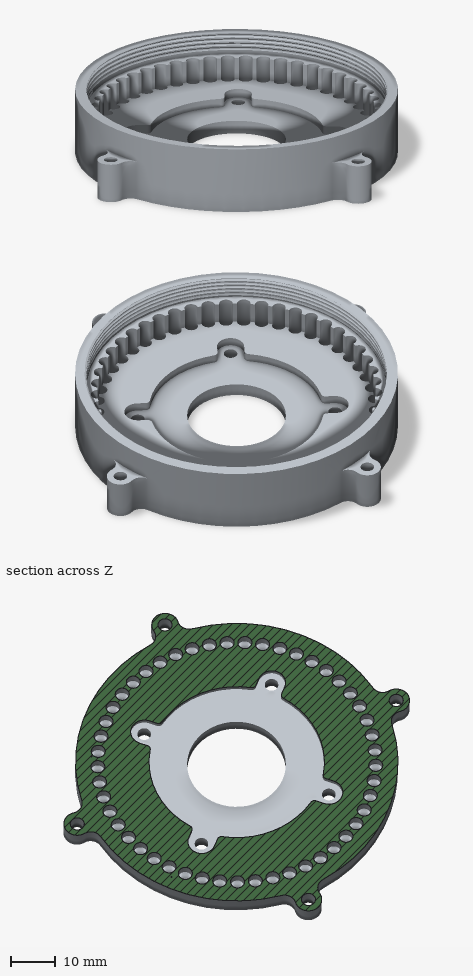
import cadquery as cq
import math

span_over_lugs = 84.0
body_radius = 72.0 / 2
body_height = 15.0
bore_radius = 11.0
floor_height = 5.0

pin_count = 49
pin_diameter = 3.0
pin_circle_radius = 31.0
pin_ledge_height = 2 * floor_height
pin_pocket_depth = 3.0

mouth_radius = 67.0 / 2
thread_depth = 0.4
thread_pitch = 1.0
thread_groove_width = thread_pitch * 3 / 4
thread_root_width = thread_pitch / 8
thread_turns = 5
thread_start_angle = 209
thread_overrun = 0.6
thread_overlap = 0.04

lug_count = 4
lug_height = 9.0
lug_radius = 3.0
lug_circle_radius = span_over_lugs / 2 - lug_radius
lug_fillet = 2.5
screw_diameter = 3.0

recess_radius = 19.5
recess_depth = 2.0
arm_radius = 3.0
arm_circle_radius = 22.0
arm_count = 4
arm_start_angle = 45
arm_corner_fillet = 1.0


def polar_points(radius, count, start_angle=0.0):
    """Points evenly spaced on a circle about the origin."""
    angles = [math.radians(start_angle + i * 360 / count) for i in range(count)]
    return [(radius * math.cos(a), radius * math.sin(a)) for a in angles]


def turned(part, angle):
    """The part turned about the Z axis."""
    return part.rotate((0, 0, 0), (0, 0, 1), angle)


def make_lug():
    """An upright post touching the body, blended into it on both sides."""
    blend_reach = body_radius + lug_fillet
    post_reach = lug_radius + lug_fillet
    blend_x = (lug_circle_radius**2 + blend_reach**2 - post_reach**2) / (2 * lug_circle_radius)
    blend_y = math.sqrt(blend_reach**2 - blend_x**2)

    body_share = body_radius / blend_reach
    post_share = lug_radius / post_reach
    body_x = blend_x * body_share
    body_y = blend_y * body_share
    post_x = lug_circle_radius + (blend_x - lug_circle_radius) * post_share
    post_y = blend_y * post_share
    return (
        cq.Workplane("XY")
        .moveTo(0, 0)
        .lineTo(body_x, -body_y)
        .radiusArc((post_x, -post_y), lug_fillet)
        .threePointArc((lug_circle_radius + lug_radius, 0), (post_x, post_y))
        .radiusArc((body_x, body_y), lug_fillet)
        .close()
        .extrude(lug_height)
    )


def make_body():
    body = cq.Workplane("XY").circle(body_radius).extrude(body_height)
    for i in range(lug_count):
        body = body.union(turned(make_lug(), i * 360 / lug_count))
    return body


def cylinder_cut(radius, bottom, top):
    return cq.Workplane("XY").workplane(offset=bottom).circle(radius).extrude(top - bottom)


def make_recess():
    recess = cq.Workplane("XY").circle(recess_radius).extrude(recess_depth)
    arm = (
        cq.Workplane("XY")
        .moveTo(0, -arm_radius)
        .lineTo(arm_circle_radius, -arm_radius)
        .threePointArc((arm_circle_radius + arm_radius, 0), (arm_circle_radius, arm_radius))
        .lineTo(0, arm_radius)
        .close()
        .extrude(recess_depth)
    )
    for i in range(arm_count):
        recess = recess.union(turned(arm, arm_start_angle + i * 360 / arm_count))

    corner_reach = recess_radius + arm_corner_fillet
    corners = recess.edges("|Z").filter(
        lambda edge: math.hypot(edge.Center().x, edge.Center().y) < corner_reach
    )
    return corners.fillet(arm_corner_fillet).translate((0, 0, floor_height - recess_depth))


def make_pin_pockets():
    bottom = floor_height - pin_pocket_depth
    return (
        cq.Workplane("XY")
        .workplane(offset=bottom)
        .pushPoints(polar_points(pin_circle_radius, pin_count))
        .circle(pin_diameter / 2)
        .extrude(pin_ledge_height - bottom)
    )


def make_thread_cutter():
    """Helical cutter that runs out through the rim, deepest there on the +X side."""
    turns_in_wall = thread_turns - thread_start_angle / 360
    bottom = body_height - thread_pitch * turns_in_wall
    helix_height = thread_pitch * (turns_in_wall + thread_overrun)
    helix = cq.Wire.makeHelix(thread_pitch, helix_height, mouth_radius)

    mouth_half = thread_groove_width / 2
    root_half = thread_root_width / 2
    inner_radius = mouth_radius - thread_overlap
    root_radius = mouth_radius + thread_depth
    groove = (
        cq.Workplane("XZ")
        .moveTo(inner_radius, -mouth_half)
        .lineTo(inner_radius, mouth_half)
        .lineTo(root_radius, root_half)
        .lineTo(root_radius, -root_half)
        .close()
        .sweep(cq.Workplane(obj=helix), isFrenet=True)
    )
    return turned(groove, thread_start_angle).translate((0, 0, bottom))


def make_screw_holes():
    places = polar_points(lug_circle_radius, lug_count)
    places += polar_points(arm_circle_radius, arm_count, arm_start_angle)
    return cq.Workplane("XY").pushPoints(places).circle(screw_diameter / 2).extrude(lug_height)


result = (
    make_body()
    .cut(cylinder_cut(bore_radius, 0, floor_height))
    .cut(cylinder_cut(pin_circle_radius, floor_height, pin_ledge_height))
    .cut(cylinder_cut(mouth_radius, pin_ledge_height, body_height))
    .cut(make_recess())
    .cut(make_pin_pockets())
    .cut(make_screw_holes())
    .cut(make_thread_cutter())
)